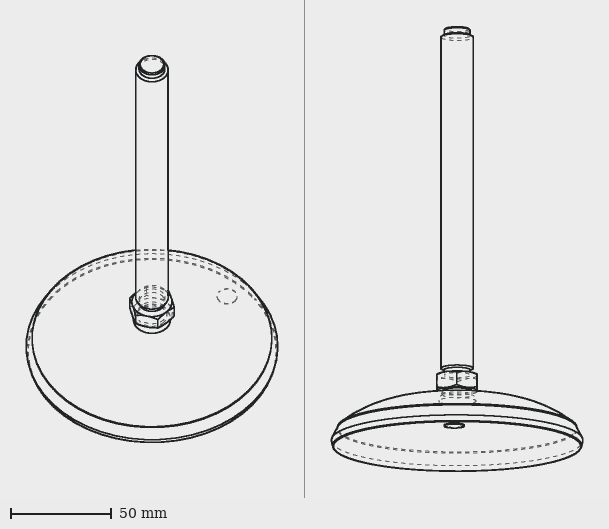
import cadquery as cq
import math

TOTAL_HEIGHT = 211.7

PAD_DIAMETER = 125.0
PAD_LOWER_DIAMETER = 123.6
PAD_TOP_DIAMETER = 119.0
PAD_BOTTOM_Z = 0.5
PAD_BOTTOM_CHAMFER = 0.5
PAD_RIM_Z = 3.5
PAD_TOP_Z = 9.3
MARK_DIAMETER = 10.0
MARK_X = 26.2
MARK_Y = 45.3

PLATE_DIAMETER = PAD_TOP_DIAMETER
PLATE_FLAT_DIAMETER = 40.2
PLATE_EDGE_HEIGHT = 0.6
PLATE_TOP_Z = 23.5

COLLAR_DIAMETER = 18.5
COLLAR_TOP_Z = 26.7
NECK_DIAMETER = 14.6
HEX_ACROSS_FLATS = 20.0
HEX_BOTTOM_Z = 28.5
HEX_TOP_Z = 36.6
HEX_CHAMFER_ANGLE = 30.0
RELIEF_DIAMETER = 13.0
SHANK_DIAMETER = 16.0
SHANK_BOTTOM_Z = 40.0
TIP_DIAMETER = 13.0
TIP_CHAMFER = 0.6
TIP_LENGTH = 3.2
SHANK_CHAMFER_HEIGHT = 0.8


def turned(profile):
    """Revolve a closed radius-height profile about the Z axis."""
    return profile.close().revolve(360, (0, 0, 0), (0, 1, 0))


def cylinder(diameter, bottom_z, top_z):
    return cq.Workplane("XY").workplane(offset=bottom_z).circle(diameter / 2).extrude(top_z - bottom_z)


def make_pad():
    """Disc with a sloping upper wall and a slightly undercut lower wall, plus a round mark below."""
    disc = turned(
        cq.Workplane("XZ")
        .moveTo(0, PAD_BOTTOM_Z)
        .lineTo(PAD_LOWER_DIAMETER / 2 - PAD_BOTTOM_CHAMFER, PAD_BOTTOM_Z)
        .lineTo(PAD_LOWER_DIAMETER / 2, PAD_BOTTOM_Z + PAD_BOTTOM_CHAMFER)
        .lineTo(PAD_DIAMETER / 2, PAD_RIM_Z)
        .lineTo(PAD_TOP_DIAMETER / 2, PAD_TOP_Z)
        .lineTo(0, PAD_TOP_Z)
    )
    mark = cylinder(MARK_DIAMETER, 0, PAD_BOTTOM_Z).translate((MARK_X, MARK_Y, 0))
    return disc.union(mark)


def make_plate():
    """Dome whose arc runs tangent into the flat top, above a thin upright edge."""
    flat_radius = PLATE_FLAT_DIAMETER / 2
    dome_run = PLATE_DIAMETER / 2 - flat_radius
    edge_top_z = PAD_TOP_Z + PLATE_EDGE_HEIGHT
    dome_drop = PLATE_TOP_Z - edge_top_z
    arc_radius = (dome_run**2 + dome_drop**2) / (2 * dome_drop)
    half_angle = math.asin(dome_run / arc_radius) / 2
    arc_middle = (
        flat_radius + arc_radius * math.sin(half_angle),
        PLATE_TOP_Z - arc_radius * (1 - math.cos(half_angle)),
    )
    return turned(
        cq.Workplane("XZ")
        .moveTo(0, PAD_TOP_Z)
        .lineTo(PLATE_DIAMETER / 2, PAD_TOP_Z)
        .lineTo(PLATE_DIAMETER / 2, edge_top_z)
        .threePointArc(arc_middle, (flat_radius, PLATE_TOP_Z))
        .lineTo(0, PLATE_TOP_Z)
    )


def make_hex():
    """Hexagon with corners on the X axis, its corners chamfered at both ends."""
    corner_radius = HEX_ACROSS_FLATS / math.sqrt(3)
    flat_radius = HEX_ACROSS_FLATS / 2
    chamfer_height = (corner_radius - flat_radius) * math.tan(math.radians(HEX_CHAMFER_ANGLE))
    prism = (
        cq.Workplane("XY")
        .workplane(offset=HEX_BOTTOM_Z)
        .polygon(6, 2 * corner_radius)
        .extrude(HEX_TOP_Z - HEX_BOTTOM_Z)
    )
    envelope = turned(
        cq.Workplane("XZ")
        .moveTo(0, HEX_BOTTOM_Z)
        .lineTo(flat_radius, HEX_BOTTOM_Z)
        .lineTo(corner_radius, HEX_BOTTOM_Z + chamfer_height)
        .lineTo(corner_radius, HEX_TOP_Z - chamfer_height)
        .lineTo(flat_radius, HEX_TOP_Z)
        .lineTo(0, HEX_TOP_Z)
    )
    return prism.intersect(envelope)


def make_shank():
    """Long cylinder chamfered at both ends, down to the relief below and to a narrow tip above."""
    shank_radius = SHANK_DIAMETER / 2
    tip_radius = TIP_DIAMETER / 2
    tip_bottom_z = TOTAL_HEIGHT - TIP_LENGTH
    return turned(
        cq.Workplane("XZ")
        .moveTo(0, SHANK_BOTTOM_Z - SHANK_CHAMFER_HEIGHT)
        .lineTo(RELIEF_DIAMETER / 2, SHANK_BOTTOM_Z - SHANK_CHAMFER_HEIGHT)
        .lineTo(shank_radius, SHANK_BOTTOM_Z)
        .lineTo(shank_radius, tip_bottom_z - SHANK_CHAMFER_HEIGHT)
        .lineTo(tip_radius, tip_bottom_z)
        .lineTo(tip_radius, TOTAL_HEIGHT - TIP_CHAMFER)
        .lineTo(tip_radius - TIP_CHAMFER, TOTAL_HEIGHT)
        .lineTo(0, TOTAL_HEIGHT)
    )


def make_collar():
    """Collar that leaves the plate upright and curves inwards to the neck."""
    collar_radius = COLLAR_DIAMETER / 2
    neck_radius = NECK_DIAMETER / 2
    inset = collar_radius - neck_radius
    height = COLLAR_TOP_Z - PLATE_TOP_Z
    arc_radius = (inset**2 + height**2) / (2 * inset)
    half_angle = math.asin(height / arc_radius) / 2
    arc_middle = (
        collar_radius - arc_radius * (1 - math.cos(half_angle)),
        PLATE_TOP_Z + arc_radius * math.sin(half_angle),
    )
    return turned(
        cq.Workplane("XZ")
        .moveTo(0, PLATE_TOP_Z)
        .lineTo(collar_radius, PLATE_TOP_Z)
        .threePointArc(arc_middle, (neck_radius, COLLAR_TOP_Z))
        .lineTo(0, COLLAR_TOP_Z)
    )


def make_stud():
    """Collar, neck, hexagon, thread relief and shank as one piece."""
    neck = cylinder(NECK_DIAMETER, COLLAR_TOP_Z, HEX_BOTTOM_Z)
    relief = cylinder(RELIEF_DIAMETER, HEX_TOP_Z, SHANK_BOTTOM_Z)
    return make_collar().union(neck).union(make_hex()).union(relief).union(make_shank())


pad = make_pad()
plate = make_plate()
stud = make_stud()

result = cq.Compound.makeCompound([pad.val(), plate.val(), stud.val()])